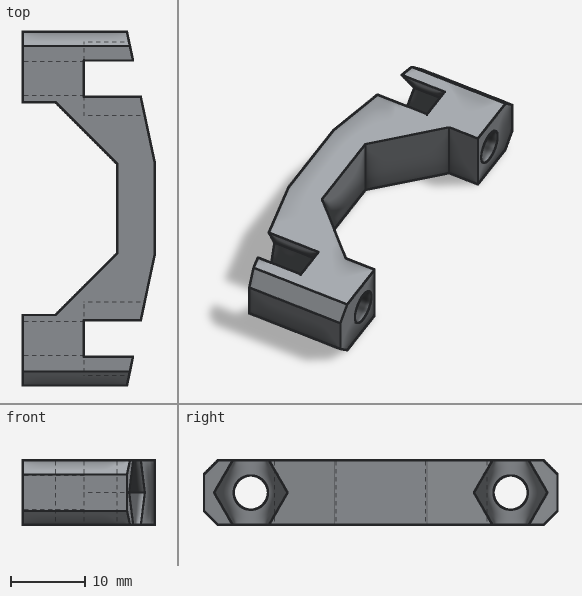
import cadquery as cq
import math

depth = 17.75
length = 47.6
height = 8.7
half_length = length / 2

flat_half_length = 6.25
taper_angle = math.radians(12)

foot_inner_y = 14.3
recess_start_x = 4.45
recess_floor_x = 12.7
recess_floor_half_length = foot_inner_y - (recess_floor_x - recess_start_x)

end_chamfer = 1.9
hole_diameter = 4.55
hole_y = 17.5
slot_floor_x = 8.25
slot_mouth_width = 4.85
slot_side_angle = math.radians(60)


def make_bow():
    """Mirror-symmetric plan outline, extruded about the middle plane."""
    end_x = depth - (half_length - flat_half_length) * math.tan(taper_angle)
    half_outline = [
        (depth, flat_half_length),
        (end_x, half_length),
        (0, half_length),
        (0, foot_inner_y),
        (recess_start_x, foot_inner_y),
        (recess_floor_x, recess_floor_half_length),
    ]
    other_half = [(x, -y) for x, y in reversed(half_outline)]
    outline = half_outline + other_half
    return cq.Workplane("XY").polyline(outline).close().extrude(height / 2, both=True)


def make_foot_cut(side):
    """Bolt hole along X, opening into a hexagonal nut slot in the outer side."""
    hole = (
        cq.Workplane("YZ")
        .center(side * hole_y, 0)
        .circle(hole_diameter / 2)
        .extrude(depth)
    )
    half_height = height / 2
    half_mouth = slot_mouth_width / 2
    half_waist = half_mouth + half_height / math.tan(slot_side_angle)
    slot_section = [
        (half_mouth, half_height),
        (half_waist, 0),
        (half_mouth, -half_height),
        (-half_mouth, -half_height),
        (-half_waist, 0),
        (-half_mouth, half_height),
    ]
    slot = (
        cq.Workplane("YZ", origin=(slot_floor_x, side * hole_y, 0))
        .polyline(slot_section)
        .close()
        .extrude(depth - slot_floor_x)
    )
    return hole.union(slot)


bow = make_bow().faces("<Y or >Y").edges("|X").chamfer(end_chamfer)
for side in (-1, 1):
    bow = bow.cut(make_foot_cut(side))

result = bow